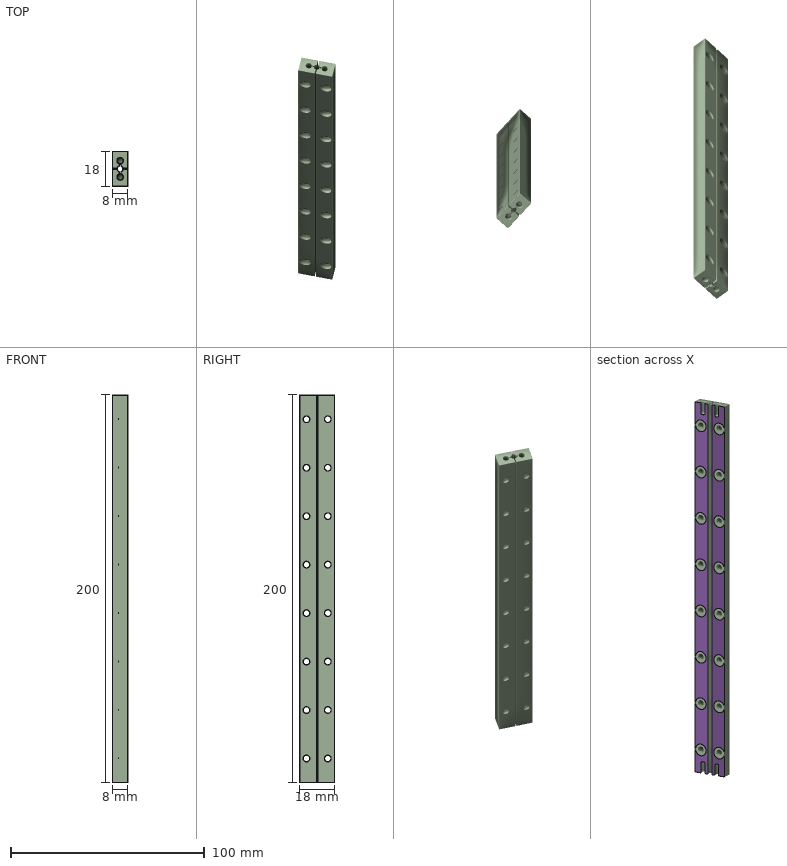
import cadquery as cq
import math

pair_width = 18.0
rail_height = 8.0
rail_length = 200.0

rail_gap = 0.6
rail_width = (pair_width - rail_gap) / 2
gap_face = rail_gap / 2
corner_radius = 0.15
end_chamfer = 0.1

track_width = 2.5
track_wall_depth = 0.6
track_depth = 1.2
relief_width = 0.7
relief_depth = 2.0

hole_pitch = 25.0
hole_count = 8
hole_spacing = 11.0
hole_diameter = 3.3
counterbore_diameter = 6.0
counterbore_depth = 3.1

end_hole_diameter = 3.0
end_hole_depth = 6.0
end_hole_spacing = 8.4
end_hole_chamfer = 0.2
drill_point_angle = 118.0


def rail_bar():
    """Plain bar of the +Y rail, with rounded long edges and chamfered ends."""
    bar = cq.Workplane("XY").box(rail_height, rail_width, rail_length)
    bar = bar.edges("|Z").fillet(corner_radius)
    bar = bar.faces("<Z or >Z").chamfer(end_chamfer)
    return bar.translate((0, gap_face + rail_width / 2, 0))


def roller_track():
    """Cutter for the track and its relief slot, running the full length of the +Y rail."""
    wall_end = gap_face + track_wall_depth
    flank_end = gap_face + track_depth
    relief_bottom = gap_face + relief_depth
    return (
        cq.Workplane("XY")
        .moveTo(-track_width / 2, 0)
        .lineTo(-track_width / 2, wall_end)
        .lineTo(-relief_width / 2, flank_end)
        .lineTo(-relief_width / 2, relief_bottom)
        .lineTo(relief_width / 2, relief_bottom)
        .lineTo(relief_width / 2, flank_end)
        .lineTo(track_width / 2, wall_end)
        .lineTo(track_width / 2, 0)
        .close()
        .extrude(rail_length / 2, both=True)
    )


def mounting_hole(z):
    """Cutter for a through hole along X with its counterbore, at height z."""
    axis = cq.Vector(1, 0, 0)
    start = cq.Vector(-rail_height / 2, hole_spacing / 2, z)
    through = cq.Solid.makeCylinder(hole_diameter / 2, rail_height, start, axis)
    counterbore = cq.Solid.makeCylinder(counterbore_diameter / 2, counterbore_depth, start, axis)
    return cq.Workplane(through.fuse(counterbore))


def end_hole(end):
    """Cutter for the blind hole with a chamfered mouth and a drill point; end is +1 (top) or -1."""
    radius = end_hole_diameter / 2
    mouth_radius = radius + end_hole_chamfer
    point_length = radius / math.tan(math.radians(drill_point_angle / 2))
    axis = cq.Vector(0, 0, -end)
    start = cq.Vector(0, end_hole_spacing / 2, end * rail_length / 2)
    bore = cq.Solid.makeCylinder(radius, end_hole_depth, start, axis)
    mouth = cq.Solid.makeCone(mouth_radius, radius, end_hole_chamfer, start, axis)
    point = cq.Solid.makeCone(radius, 0, point_length, start + axis * end_hole_depth, axis)
    return cq.Workplane(bore.fuse(mouth, point))


def make_rail():
    """The rail on the +Y side of the gap."""
    rail = rail_bar().cut(roller_track())
    for index in range(hole_count):
        z = (index - (hole_count - 1) / 2) * hole_pitch
        rail = rail.cut(mounting_hole(z))
    for end in (-1, 1):
        rail = rail.cut(end_hole(end))
    return rail


rear_rail = make_rail()
front_rail = make_rail().mirror("XZ")

result = cq.Compound.makeCompound([rear_rail.solids().val(), front_rail.solids().val()])